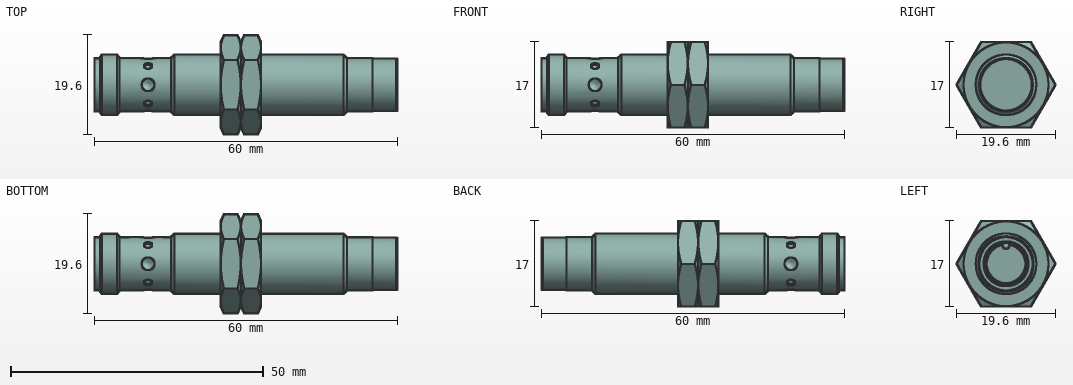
import cadquery as cq
import math

LENGTH = 60.0

BARREL_DIA = 12.0
BARREL_START = 15.85
BARREL_END = 49.25
BARREL_CHAMFER = 0.7

TIP_DIA = 10.55
COLLAR_START = 1.1
COLLAR_FRONT_DIA = 10.9
COLLAR_FRONT_CHAMFER = 0.4
COLLAR_REAR = 4.45
COLLAR_REAR_CHAMFER = 0.55
NECK_DIA = 10.6

SHOULDER_DIA = 10.6
CAP_START = 55.0
CAP_DIA = 10.45
CAP_CHAMFER_LENGTH = 0.3
CAP_CHAMFER_DEPTH = 0.1

MOUTH_DIA = 8.9
SOCKET_DIA = 8.3
MOUTH_CHAMFER = (MOUTH_DIA - SOCKET_DIA) / 2
FLOOR_DIA = 7.7
FLOOR_CHAMFER = (SOCKET_DIA - FLOOR_DIA) / 2
SOCKET_DEPTH = 9.0
KEY_DIA = 1.4
KEY_CENTER_RADIUS = 3.65

HOLE_X = 10.6
LARGE_HOLE_DIA = 2.5
SMALL_HOLE_DIA = 1.6
HOLE_WALL_DEPTH = 0.5
DRILL_ANGLE = 130.0

NUT_COUNT = 2
NUT_START = 24.95
NUT_THICKNESS = 4.0
NUT_CORNER_DIA = 19.6
NUT_FACE_DIA = 16.8
NUT_CHAMFER = 0.65


def revolve_about_x(points):
    """Solid of revolution from (x, radius) points, closed along the X axis."""
    profile = [(points[0][0], 0), *points, (points[-1][0], 0)]
    return cq.Workplane("XY").polyline(profile).close().revolve(360, (0, 0, 0), (1, 0, 0))


def make_outer_shape():
    barrel_r = BARREL_DIA / 2
    cap_r = CAP_DIA / 2
    return revolve_about_x([
        (0, TIP_DIA / 2),
        (COLLAR_START, TIP_DIA / 2),
        (COLLAR_START, COLLAR_FRONT_DIA / 2),
        (COLLAR_START + COLLAR_FRONT_CHAMFER, barrel_r),
        (COLLAR_REAR, barrel_r),
        (COLLAR_REAR + COLLAR_REAR_CHAMFER, NECK_DIA / 2),
        (BARREL_START - BARREL_CHAMFER, NECK_DIA / 2),
        (BARREL_START, barrel_r),
        (BARREL_END, barrel_r),
        (BARREL_END + BARREL_CHAMFER, SHOULDER_DIA / 2),
        (CAP_START, SHOULDER_DIA / 2),
        (CAP_START, cap_r),
        (LENGTH - CAP_CHAMFER_LENGTH, cap_r),
        (LENGTH, cap_r - CAP_CHAMFER_DEPTH),
    ])


def make_socket():
    """Chamfered round recess, less the round key along its top."""
    recess = revolve_about_x([
        (0, MOUTH_DIA / 2),
        (MOUTH_CHAMFER, SOCKET_DIA / 2),
        (SOCKET_DEPTH - FLOOR_CHAMFER, SOCKET_DIA / 2),
        (SOCKET_DEPTH, FLOOR_DIA / 2),
    ])
    key = (
        cq.Workplane("YZ")
        .workplane(offset=MOUTH_CHAMFER)
        .center(0, KEY_CENTER_RADIUS)
        .circle(KEY_DIA / 2)
        .extrude(SOCKET_DEPTH - MOUTH_CHAMFER)
    )
    return recess.cut(key)


def make_drill(diameter, angle):
    """Pointed drill entering the neck radially; angle is measured from +Z about X."""
    radius = diameter / 2
    neck_r = NECK_DIA / 2
    wall_end = neck_r - HOLE_WALL_DEPTH
    point_end = wall_end - radius / math.tan(math.radians(DRILL_ANGLE / 2))
    drill = (
        cq.Workplane("XZ")
        .polyline([(0, point_end), (radius, wall_end), (radius, neck_r + radius), (0, neck_r + radius)])
        .close()
        .revolve(360, (0, 0, 0), (0, 1, 0))
    )
    return drill.rotate((0, 0, 0), (1, 0, 0), angle).translate((HOLE_X, 0, 0))


def make_housing():
    housing = make_outer_shape().cut(make_socket())
    for quarter in range(4):
        angle = 90 * quarter
        housing = housing.cut(make_drill(LARGE_HOLE_DIA, angle))
        housing = housing.cut(make_drill(SMALL_HOLE_DIA, angle + 45))
    return housing


def make_nut(start):
    """Hexagon nut with corners on +Y and -Y, chamfered on both faces."""
    hexagon = cq.Workplane("YZ").polygon(6, NUT_CORNER_DIA).extrude(NUT_THICKNESS)
    chamfer_envelope = revolve_about_x([
        (0, NUT_FACE_DIA / 2),
        (NUT_CHAMFER, NUT_CORNER_DIA / 2),
        (NUT_THICKNESS - NUT_CHAMFER, NUT_CORNER_DIA / 2),
        (NUT_THICKNESS, NUT_FACE_DIA / 2),
    ])
    bore = cq.Workplane("YZ").circle(BARREL_DIA / 2).extrude(NUT_THICKNESS)
    return hexagon.intersect(chamfer_envelope).cut(bore).translate((start, 0, 0))


housing = make_housing()
nuts = [make_nut(NUT_START + i * NUT_THICKNESS) for i in range(NUT_COUNT)]

result = cq.Compound.makeCompound([housing.val(), *[nut.val() for nut in nuts]])